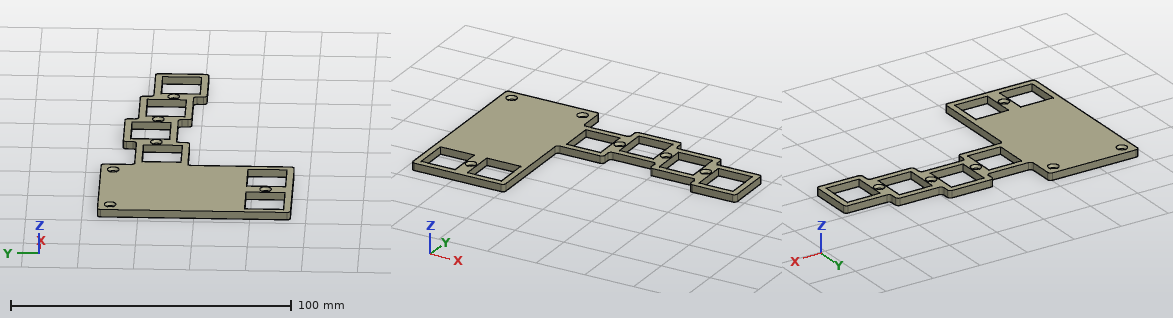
import cadquery as cq

plate_length = 114.2
plate_depth = 69.0
thickness = 3.0
columns = 6
window_size = 13.9
corner_radius = 1.3
screw_diameter = 2.2
countersink_diameter = 4.1
countersink_angle = 90
screw_inset = 4.5

pitch = plate_length / columns
stagger = pitch / 4
body_width = 2 * pitch
finger_row_y = 2.5 * pitch
finger_offsets = [0, stagger, 0, -stagger]

thumb_centers = [((i + 0.5) * pitch, pitch / 2) for i in range(2)]
finger_centers = [
    (body_width + (i + 0.5) * pitch, finger_row_y + offset)
    for i, offset in enumerate(finger_offsets)
]


def midpoint(a, b):
    return ((a[0] + b[0]) / 2, (a[1] + b[1]) / 2)


def make_blank():
    """Rectangular body with one square cell added per finger key, corners rounded."""
    blank = cq.Workplane("XY").box(body_width, plate_depth, thickness, centered=False)
    cells = (
        cq.Workplane("XY")
        .pushPoints(finger_centers)
        .rect(pitch, pitch)
        .extrude(thickness)
    )
    return blank.union(cells).edges("|Z").fillet(corner_radius)


def cut_windows(plate):
    """Square switch openings through every key cell."""
    return (
        plate.faces(">Z")
        .workplane(origin=(0, 0, thickness))
        .pushPoints(thumb_centers + finger_centers)
        .rect(window_size, window_size)
        .cutThruAll()
    )


def cut_screw_holes(plate):
    """Countersunk holes: two at the rear of the body, the rest midway between keys."""
    rear_y = plate_depth - screw_inset
    rear_screws = [(screw_inset, rear_y), (body_width - screw_inset, rear_y)]
    thumb_screw = midpoint(*thumb_centers)
    finger_screws = [midpoint(a, b) for a, b in zip(finger_centers, finger_centers[1:])]
    return (
        plate.faces(">Z")
        .workplane(origin=(0, 0, thickness))
        .pushPoints(rear_screws + [thumb_screw] + finger_screws)
        .cskHole(screw_diameter, countersink_diameter, countersink_angle)
    )


result = cut_screw_holes(cut_windows(make_blank()))